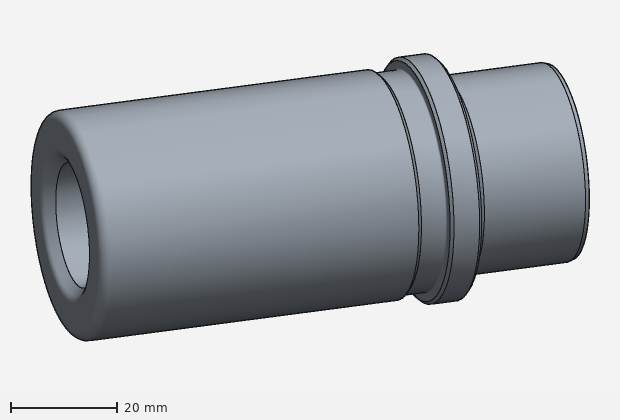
import cadquery as cq
import math

LENGTH = 98.0
FRONT_Y = -LENGTH / 2
BACK_Y = LENGTH / 2

BODY_RADIUS = 22.0
BODY_END_FILLET = 2.0
FLANGE_RADIUS = 23.5
FLANGE_CHAMFER = 0.6
NECK_RADIUS = 21.2
NECK_ROOT_FILLET = 0.3
GROOVE_RADIUS = 17.9
SPIGOT_RADIUS = 19.0
SPIGOT_LEAD_RISE = 0.3
SPIGOT_LEAD_LENGTH = 0.9

SPIGOT_LENGTH = 21.0
GROOVE_LENGTH = 1.9
FLANGE_WIDTH = 6.3
NECK_LENGTH = 5.1

BORE_RADIUS = 12.0
MOUTH_CHAMFER = 1.6
MOUTH_FILLET = 2.0
MOUTH_ANGLE = math.radians(45)

flange_back_y = BACK_Y - SPIGOT_LENGTH - GROOVE_LENGTH
flange_front_y = flange_back_y - FLANGE_WIDTH
body_back_y = flange_front_y - NECK_LENGTH
spigot_front_y = BACK_Y - SPIGOT_LENGTH


def revolve_about_y(profile):
    """Turn a closed (radius, Y) profile through a full circle about Y."""
    return profile.close().revolve(360, (0, 0, 0), (0, 1, 0))


def make_outside():
    """Solid turned blank with the body, neck, flange, groove and spigot."""
    groove_step = SPIGOT_RADIUS - GROOVE_RADIUS
    body_step = BODY_RADIUS - NECK_RADIUS
    flange_rim = FLANGE_RADIUS - FLANGE_CHAMFER
    profile = (
        cq.Workplane("XY")
        .moveTo(0, FRONT_Y)
        .lineTo(BODY_RADIUS - BODY_END_FILLET, FRONT_Y)
        .radiusArc((BODY_RADIUS, FRONT_Y + BODY_END_FILLET), -BODY_END_FILLET)
        .lineTo(BODY_RADIUS, body_back_y - body_step)
        .lineTo(NECK_RADIUS, body_back_y)
        .lineTo(NECK_RADIUS, flange_front_y - NECK_ROOT_FILLET)
        .radiusArc((NECK_RADIUS + NECK_ROOT_FILLET, flange_front_y), NECK_ROOT_FILLET)
        .lineTo(flange_rim, flange_front_y)
        .lineTo(FLANGE_RADIUS, flange_front_y + FLANGE_CHAMFER)
        .lineTo(FLANGE_RADIUS, flange_back_y - FLANGE_CHAMFER)
        .lineTo(flange_rim, flange_back_y)
        .lineTo(GROOVE_RADIUS, flange_back_y)
        .lineTo(GROOVE_RADIUS, spigot_front_y - groove_step)
        .lineTo(SPIGOT_RADIUS, spigot_front_y)
        .lineTo(SPIGOT_RADIUS, BACK_Y - SPIGOT_LEAD_LENGTH)
        .lineTo(SPIGOT_RADIUS - SPIGOT_LEAD_RISE, BACK_Y)
        .lineTo(0, BACK_Y)
    )
    return revolve_about_y(profile)


def make_bore():
    """Through bore whose front mouth has a rounded lip running tangent into a chamfer."""
    throat_radius = BORE_RADIUS + MOUTH_CHAMFER
    throat_y = FRONT_Y + MOUTH_FILLET * (1 - math.cos(MOUTH_ANGLE))
    lip_radius = throat_radius + MOUTH_FILLET * math.sin(MOUTH_ANGLE)
    profile = (
        cq.Workplane("XY")
        .moveTo(0, FRONT_Y)
        .lineTo(lip_radius, FRONT_Y)
        .radiusArc((throat_radius, throat_y), MOUTH_FILLET)
        .lineTo(BORE_RADIUS, throat_y + MOUTH_CHAMFER / math.tan(MOUTH_ANGLE))
        .lineTo(BORE_RADIUS, BACK_Y)
        .lineTo(0, BACK_Y)
    )
    return revolve_about_y(profile)


result = make_outside().cut(make_bore())